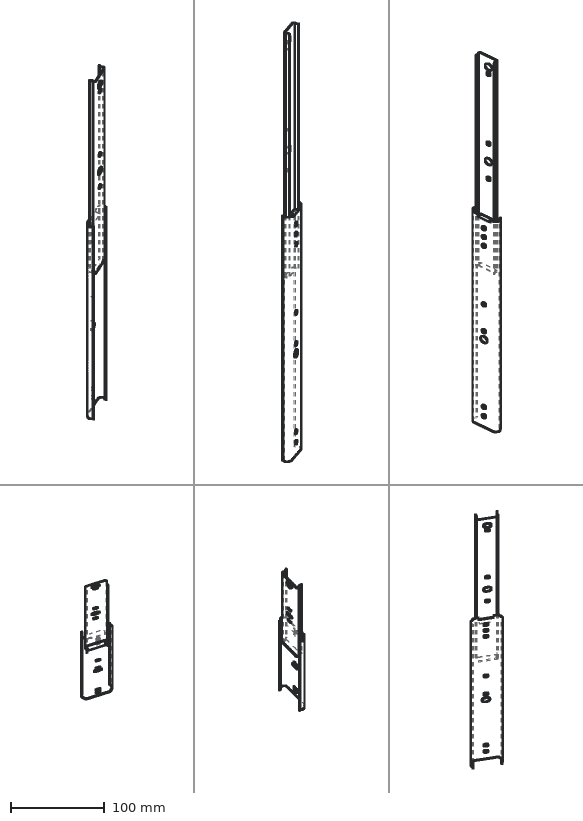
import cadquery as cq
import math

TOTAL_HEIGHT = 532.0
RAIL_LENGTH = 305.0
INNER_BOTTOM = TOTAL_HEIGHT - RAIL_LENGTH
SHEET = 1.0
BACK_X = -5.0
FRONT_X = 5.0
TRACK_X = 0.35

CREST_Y = 17.5
BULGE_HEIGHT = 1.5
OUTER_FLANGE_Y = CREST_Y - BULGE_HEIGHT
BULGE_RADIUS = 3.6
BULGE_Y = CREST_Y - BULGE_RADIUS
BEND_RADIUS = 3.25

INNER_FLANGE_Y = 12.0
INNER_TIP_X = -2.55
INNER_BEND_RADIUS = 2.0
GROOVE_HALF_WIDTH = 1.85
GROOVE_DEPTH = 0.65

NOTCH_WIDTH = 16.0
NOTCH_DEPTH = 3.0
OUTER_STOP_TIP_X = 0.8
INNER_STOP_WIDTH = 19.5
INNER_STOP_TIP_X = -0.8

LARGE_HOLE = 9.0
SMALL_HOLE = 5.05
INNER_LARGE_Z = [516.5, 379.0]
INNER_SMALL_Z = [506.5, 405.0, 354.0]
OUTER_LARGE_Z = [127.0]
OUTER_SMALL_Z = [289.0, 276.0, 263.0, 178.0, 139.5, 29.0, 16.0]


def extrude_both_halves(half_section, bottom):
    """Extrude the +Y half of a section and its mirror image into one rail."""
    half = half_section.close().extrude(RAIL_LENGTH)
    return half.union(half.mirror("XZ")).translate((0, 0, bottom))


def stop_tab(x_from, x_to, width, bottom):
    """Flat tab of sheet thickness standing out from a web along X."""
    return (
        cq.Workplane("XY", origin=(0, 0, bottom))
        .center((x_from + x_to) / 2, 0)
        .rect(abs(x_to - x_from), width)
        .extrude(SHEET)
    )


def drill(rail, diameter, heights):
    """Drill a hole along X through the web at each height."""
    points = [(0, z) for z in heights]
    drills = cq.Workplane("YZ").pushPoints(points).circle(diameter / 2).extrude(2 * FRONT_X, both=True)
    return rail.cut(drills)


def outer_section():
    """Half section: flat web, 45 degree bend, slanted wall, bulged ball track and flange tip."""
    inner_y = OUTER_FLANGE_Y - SHEET
    inner_bend = BEND_RADIUS - SHEET
    inner_bulge = BULGE_RADIUS - SHEET
    slant = math.sqrt(0.5)
    bend_x = BACK_X + BEND_RADIUS
    bend_y = BULGE_Y + (bend_x - TRACK_X) + (BULGE_RADIUS - BEND_RADIUS) / slant
    bulge_end_x = TRACK_X + math.sqrt(BULGE_RADIUS ** 2 - (OUTER_FLANGE_Y - BULGE_Y) ** 2)
    inner_bulge_end_x = TRACK_X + math.sqrt(inner_bulge ** 2 - (inner_y - BULGE_Y) ** 2)
    return (
        cq.Workplane("XY")
        .moveTo(BACK_X, 0)
        .lineTo(BACK_X, bend_y)
        .tangentArcPoint((bend_x - slant * BEND_RADIUS, bend_y + slant * BEND_RADIUS), relative=False)
        .lineTo(TRACK_X - slant * BULGE_RADIUS, BULGE_Y + slant * BULGE_RADIUS)
        .threePointArc((TRACK_X, CREST_Y), (bulge_end_x, OUTER_FLANGE_Y))
        .lineTo(FRONT_X, OUTER_FLANGE_Y)
        .lineTo(FRONT_X, inner_y)
        .lineTo(inner_bulge_end_x, inner_y)
        .threePointArc((TRACK_X, CREST_Y - SHEET),
                       (TRACK_X - slant * inner_bulge, BULGE_Y + slant * inner_bulge))
        .lineTo(bend_x - slant * inner_bend, bend_y + slant * inner_bend)
        .tangentArcPoint((BACK_X + SHEET, bend_y), relative=False)
        .lineTo(BACK_X + SHEET, 0)
    )


def inner_section():
    """Half section: flat web, rounded bend, flange with a ball groove pressed inwards."""
    inner_y = INNER_FLANGE_Y - SHEET
    web_x = FRONT_X - SHEET
    bend_x = FRONT_X - INNER_BEND_RADIUS
    bend_y = INNER_FLANGE_Y - INNER_BEND_RADIUS
    groove_start = TRACK_X - GROOVE_HALF_WIDTH
    groove_end = TRACK_X + GROOVE_HALF_WIDTH
    return (
        cq.Workplane("XY")
        .moveTo(FRONT_X, 0)
        .lineTo(FRONT_X, bend_y)
        .tangentArcPoint((bend_x, INNER_FLANGE_Y), relative=False)
        .lineTo(groove_end, INNER_FLANGE_Y)
        .threePointArc((TRACK_X, INNER_FLANGE_Y - GROOVE_DEPTH), (groove_start, INNER_FLANGE_Y))
        .lineTo(INNER_TIP_X, INNER_FLANGE_Y)
        .lineTo(INNER_TIP_X, inner_y)
        .lineTo(groove_start, inner_y)
        .threePointArc((TRACK_X, inner_y - GROOVE_DEPTH), (groove_end, inner_y))
        .lineTo(bend_x, inner_y)
        .tangentArcPoint((web_x, bend_y), relative=False)
        .lineTo(web_x, 0)
    )


def make_outer_rail():
    rail = extrude_both_halves(outer_section(), 0)
    notch_bottom = RAIL_LENGTH - NOTCH_DEPTH
    notch = (
        cq.Workplane("XY", origin=(BACK_X, 0, notch_bottom))
        .rect(2 * SHEET, NOTCH_WIDTH)
        .extrude(NOTCH_DEPTH)
    )
    stop = stop_tab(BACK_X, OUTER_STOP_TIP_X, NOTCH_WIDTH, notch_bottom - SHEET)
    rail = rail.cut(notch).union(stop)
    rail = drill(rail, LARGE_HOLE, OUTER_LARGE_Z)
    return drill(rail, SMALL_HOLE, OUTER_SMALL_Z)


def make_inner_rail():
    rail = extrude_both_halves(inner_section(), INNER_BOTTOM)
    rail = rail.union(stop_tab(INNER_STOP_TIP_X, FRONT_X, INNER_STOP_WIDTH, INNER_BOTTOM))
    rail = drill(rail, LARGE_HOLE, INNER_LARGE_Z)
    return drill(rail, SMALL_HOLE, INNER_SMALL_Z)


outer_rail = make_outer_rail()
inner_rail = make_inner_rail()

result = cq.Compound.makeCompound([outer_rail.val(), inner_rail.val()])